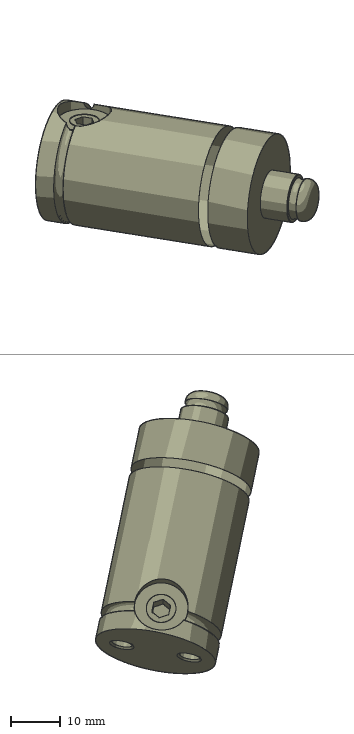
import cadquery as cq
import math

total_length = 56.0
body_length = 46.15
body_radius = 12.5

groove_radius = 1.0
groove_positions = (5.0, 36.5)

pin_radius = 5.0
shoulder_end = 52.0
shoulder_chamfer = 0.1
neck_edge_radius = 4.3
neck_bottom_radius = 4.1
head_start = 53.7
head_radius = 4.4
head_rounding = 1.9

pocket_x = 6.0
pocket_radius = 5.5
pocket_depth = 2.5
screw_radius = 3.0
screw_recess = 0.1
socket_across_corners = 4.05
socket_depth = 3.0

hole_spacing = 14.0
hole_radius = 2.1
hole_mouth_radius = 2.5
hole_depth = 10.0
drill_point_angle = 118.0


def make_body():
    return cq.Workplane("YZ").circle(body_radius).extrude(body_length)


def make_groove(x):
    """Ring swept around the body axis by a circle centred on the surface."""
    return (
        cq.Workplane("XY")
        .center(x, body_radius)
        .circle(groove_radius)
        .revolve(360, (0, -body_radius), (1, -body_radius))
    )


def make_pin():
    """Chamfered shoulder, curved neck and rounded head, revolved about X."""
    neck_middle = (shoulder_end + head_start) / 2
    rounding_offset = head_rounding * math.sqrt(0.5)
    rounding_x = total_length - head_rounding
    rounding_r = head_radius - head_rounding
    return (
        cq.Workplane("XY")
        .moveTo(body_length, 0)
        .lineTo(body_length, pin_radius)
        .lineTo(shoulder_end - shoulder_chamfer, pin_radius)
        .lineTo(shoulder_end, pin_radius - shoulder_chamfer)
        .lineTo(shoulder_end, neck_edge_radius)
        .threePointArc((neck_middle, neck_bottom_radius), (head_start, neck_edge_radius))
        .lineTo(head_start, head_radius)
        .lineTo(rounding_x, head_radius)
        .threePointArc(
            (rounding_x + rounding_offset, rounding_r + rounding_offset),
            (total_length, rounding_r),
        )
        .lineTo(total_length, 0)
        .close()
        .revolve(360, (0, 0), (1, 0))
    )


def make_pocket():
    """Round pocket, sunk screw head and hexagon socket, stacked downwards."""
    floor_z = body_radius - pocket_depth
    screw_z = floor_z - screw_recess
    at_floor = cq.Workplane("XY", origin=(pocket_x, 0, floor_z))
    at_screw = cq.Workplane("XY", origin=(pocket_x, 0, screw_z))
    pocket = at_floor.circle(pocket_radius).extrude(pocket_depth)
    screw_head = at_floor.circle(screw_radius).extrude(-screw_recess)
    socket = at_screw.polygon(6, socket_across_corners).extrude(-socket_depth)
    return pocket.union(screw_head).union(socket)


def make_end_hole(y):
    """Blind hole with a 45 degree countersink and a conical drill point."""
    countersink_depth = hole_mouth_radius - hole_radius
    point_length = hole_radius / math.tan(math.radians(drill_point_angle / 2))
    return (
        cq.Workplane("XY")
        .polyline(
            [
                (0, 0),
                (0, hole_mouth_radius),
                (countersink_depth, hole_radius),
                (hole_depth, hole_radius),
                (hole_depth + point_length, 0),
            ]
        )
        .close()
        .revolve(360, (0, 0), (1, 0))
        .translate((0, y, 0))
    )


result = make_body().union(make_pin())
for groove_x in groove_positions:
    result = result.cut(make_groove(groove_x))
result = result.cut(make_pocket())
for side in (-1, 1):
    result = result.cut(make_end_hole(side * hole_spacing / 2))